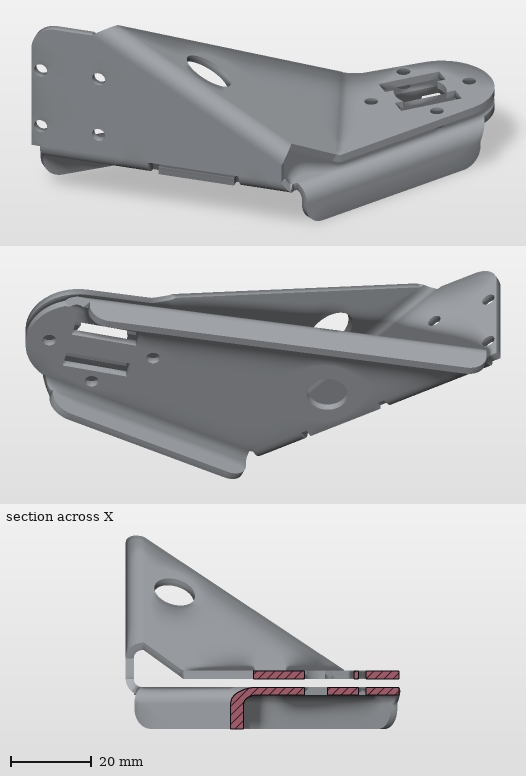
import cadquery as cq
import math

bend_radius = 4.0
thickness = bend_radius / 2
square_turn = 90.0
cut_depth = 61.7

lower_top = 10.4
lower_bottom = lower_top - thickness
upper_top = 14.4
upper_bottom = upper_top - thickness
wall_bottom = lower_bottom + bend_radius
wall_top = 46.0

wall_width = 64.8
wall_side_height = 17.4
wall_fold_x = 15.5
wall_corner_radius = 6.1
wall_hole_xs = (2.4, 17.4)
wall_hole_zs = (18.1, 33.9)
screw_diameter = 3.4

wall_roof_angle = 97.9
roof_left_x = 21.0
roof_right_x = 65.9
roof_fold_left = (63.4, 53.9)
roof_fold_right = (74.8, 13.8)
upper_fold_left = (64.4, 54.2)
upper_fold_right = (75.6, 14.4)
hole_diameter = 10.0
oval_center = (42.2, 12.1)
oval_length = 13.0

head_center = (89.3, 54.6)
head_radius = 13.1
left_normal = (-0.6, 0.8)
right_normal = (0.8, -0.6)
left_fold_offset = 2.0
right_fold_offset = 51.2
left_fold_start = 4.5
left_flange_end = 104.0
right_fold_start = 44.1
right_flange_end = 97.1
upper_ear_x = 68.5
upper_ear_radius = 3.1
lower_hole_center = (41.8, 12.1)
flange_corner_radius = 5.0
lower_left_x = 2.2
lower_right_x = 66.7
gap_left = 30.2
gap_right = 53.7
tab_left = 32.3
tab_right = 51.8
flare_angle = 50.0

pattern_center = (84.9, 50.8)
pattern_angle = 40.0
pattern_half_length = 13.2
pattern_half_width = 10.7
slot_length = 16.2
slot_width = 4.3
slot_spacing = 10.3
relief_radius = 6.6


def frame(origin, forward, normal):
    """Plane on the outer sheet face; local Y runs forward, local Z points outward."""
    forward = cq.Vector(*forward)
    normal = cq.Vector(*normal)
    return cq.Plane(origin=origin, xDir=forward.cross(normal), normal=normal)


def sheet(face, points):
    """Flat polygon of sheet lying under the given outer face."""
    return cq.Workplane(face).polyline(points).close().extrude(-thickness)


def after_bend(face, angle):
    """Outer face of the sheet after bending away from its normal."""
    turn = math.radians(angle)
    center = face.origin - face.zDir * bend_radius
    normal = face.zDir * math.cos(turn) + face.yDir * math.sin(turn)
    return cq.Plane(origin=center + normal * bend_radius, xDir=face.xDir, normal=normal)


def bend(face, angle, start_span, end_span):
    """Bent strip; the spans are its local X limits where the bend starts and ends."""
    half_turn = math.radians(angle / 2)
    low = min(start_span + end_span)
    high = max(start_span + end_span)
    ring_face = cq.Plane(
        origin=face.origin - face.zDir * bend_radius + face.xDir * low,
        xDir=face.yDir,
        normal=face.xDir,
    )

    def ring_point(radius, turn):
        return (radius * math.sin(turn), radius * math.cos(turn))

    inner_radius = bend_radius - thickness
    strip = (
        cq.Workplane(ring_face)
        .moveTo(*ring_point(bend_radius, 0))
        .threePointArc(ring_point(bend_radius, half_turn), ring_point(bend_radius, 2 * half_turn))
        .lineTo(*ring_point(inner_radius, 2 * half_turn))
        .threePointArc(ring_point(inner_radius, half_turn), ring_point(inner_radius, 0))
        .close()
        .extrude(high - low)
    )
    chord = 2 * bend_radius * math.sin(half_turn)
    mid_normal = face.zDir * math.cos(half_turn) + face.yDir * math.sin(half_turn)
    trim = (
        cq.Workplane(cq.Plane(origin=face.origin, xDir=face.xDir, normal=mid_normal))
        .polyline([(start_span[0], 0), (start_span[1], 0), (end_span[1], chord), (end_span[0], chord)])
        .close()
        .extrude(2 * bend_radius, both=True)
    )
    return strip.intersect(trim)


def scaled(vector, factor):
    return (vector[0] * factor, vector[1] * factor)


def along(point, direction, distance):
    return (point[0] + direction[0] * distance, point[1] + direction[1] * distance)


def dot(first, second):
    return first[0] * second[0] + first[1] * second[1]


left_along = (left_normal[1], -left_normal[0])
right_along = (-right_normal[1], right_normal[0])
diagonal = math.sqrt(0.5)
head_tip = along(head_center, (diagonal, diagonal), head_radius)


def make_wall():
    outline = [
        (0, wall_bottom),
        (wall_width, wall_bottom),
        (wall_width, wall_side_height),
        (wall_fold_x, wall_top),
        (0, wall_top),
    ]
    wall = cq.Workplane("XZ").polyline(outline).close().extrude(-thickness)
    wall = wall.edges("|Y").edges("<X and >Z").fillet(wall_corner_radius)
    holes = (
        cq.Workplane("XZ")
        .pushPoints([(x, z) for x in wall_hole_xs for z in wall_hole_zs])
        .circle(screw_diameter / 2)
        .extrude(-thickness)
    )
    return wall.cut(holes)


wall_slope = math.atan2(wall_top - wall_side_height, wall_width - wall_fold_x)
wall_fold_face = frame(
    (wall_width, 0, wall_side_height),
    (math.sin(wall_slope), 0, math.cos(wall_slope)),
    (0, -1, 0),
)
roof_face = after_bend(wall_fold_face, wall_roof_angle)
roof_normal = roof_face.zDir
roof_pitch = math.degrees(math.acos(roof_normal.z))
steepest_drop = (roof_normal.x**2 + roof_normal.y**2) / roof_normal.z
downhill = cq.Vector(roof_normal.x, roof_normal.y, -steepest_drop).normalized()

underside_point = roof_face.origin - roof_normal * thickness
fold_height = upper_bottom + bend_radius * (1 - roof_normal.z)
fold_origin = underside_point + downhill * ((fold_height - underside_point.z) / downhill.z)
upper_fold_face = frame(fold_origin.toTuple(), downhill.toTuple(), (roof_normal * -1).toTuple())


def upper_fold_span(left, right):
    """Local X limits along the upper fold of two points given by X and Y."""
    ends = []
    for x, y in (left, right):
        offset = cq.Vector(x, y, fold_origin.z) - fold_origin
        ends.append(offset.dot(upper_fold_face.xDir))
    return tuple(sorted(ends))


roof_end_span = upper_fold_span(roof_fold_left, roof_fold_right)
upper_end_span = upper_fold_span(upper_fold_left, upper_fold_right)


def on_roof(x, y):
    """Local roof coordinates of the roof point at the given X and Y."""
    origin = roof_face.origin
    drop = (roof_normal.x * (x - origin.x) + roof_normal.y * (y - origin.y)) / roof_normal.z
    local = roof_face.toLocalCoords(cq.Vector(x, y, origin.z - drop))
    return (local.x, local.y)


def make_roof():
    """Roof with its oval hole and both of its bends."""
    wall_end_span = ((wall_fold_x - wall_width) / math.cos(wall_slope), 0)
    front_span = tuple(
        (x - roof_face.origin.x) / roof_face.xDir.x for x in (roof_left_x, roof_right_x)
    )
    wall_bend = bend(wall_fold_face, wall_roof_angle, wall_end_span, front_span)
    upper_bend = bend(upper_fold_face, roof_pitch, roof_end_span, upper_end_span)

    back_points = []
    for x in roof_end_span:
        local = roof_face.toLocalCoords(upper_fold_face.toWorldCoords((x, 0)))
        back_points.append((local.x, local.y))
    back_left, back_right = sorted(back_points)
    roof = sheet(roof_face, [(front_span[0], 0), (front_span[1], 0), back_right, back_left])

    uphill_angle = math.degrees(math.atan2(-downhill.dot(roof_face.yDir), -downhill.dot(roof_face.xDir)))
    oval = (
        cq.Workplane(roof_face)
        .center(*on_roof(*oval_center))
        .ellipse(oval_length / 2, hole_diameter / 2, uphill_angle)
        .extrude(-thickness)
    )
    return wall_bend.union(roof.cut(oval)).union(upper_bend)


def make_upper_plate():
    upper_face = after_bend(upper_fold_face, roof_pitch)
    fold_points = [upper_face.toWorldCoords((x, 0)) for x in upper_end_span]
    fold_left, fold_right = sorted((point.x, point.y) for point in fold_points)
    left_tangent = along(head_center, left_normal, head_radius)
    right_tangent = along(head_center, right_normal, head_radius)
    ear = along(left_tangent, left_along, (upper_ear_x - left_tangent[0]) / left_along[0])
    plate = (
        cq.Workplane("XY", origin=(0, 0, upper_bottom))
        .polyline([left_tangent, ear, fold_left, fold_right, right_tangent])
        .threePointArc(head_tip, left_tangent)
        .close()
        .extrude(thickness)
    )
    ear_edge = cq.selectors.NearestToPointSelector((*ear, upper_bottom + thickness / 2))
    plate = plate.edges(ear_edge).fillet(upper_ear_radius)
    relief = (
        cq.Workplane("XY", origin=(0, 0, upper_bottom))
        .center(*pattern_center)
        .circle(relief_radius)
        .extrude(thickness)
    )
    return plate.cut(relief)


def head_reach(normal, fold_offset):
    """Half chord that a flange fold cuts from the head circle."""
    depth = fold_offset - dot(head_center, normal)
    return math.sqrt(head_radius**2 - depth**2)


def make_lower_plate():
    left_origin = scaled(left_normal, left_fold_offset)
    right_origin = scaled(right_normal, right_fold_offset)
    left_end = dot(head_center, left_along) + head_reach(left_normal, left_fold_offset)
    right_end = dot(head_center, right_along) + head_reach(right_normal, right_fold_offset)
    outline = [
        along(left_origin, left_along, left_end),
        along(left_origin, left_along, left_fold_start),
        (lower_left_x, bend_radius),
        (lower_right_x, bend_radius),
        along(right_origin, right_along, right_fold_start),
        along(right_origin, right_along, right_end),
    ]
    plate = (
        cq.Workplane("XY", origin=(0, 0, lower_bottom))
        .polyline(outline)
        .threePointArc(head_tip, outline[0])
        .close()
        .extrude(thickness)
    )
    tab = (
        cq.Workplane("XY", origin=(tab_left, thickness, lower_bottom))
        .rect(tab_right - tab_left, bend_radius - thickness, centered=False)
        .extrude(thickness)
    )
    hole = (
        cq.Workplane("XY", origin=(0, 0, lower_bottom))
        .center(*lower_hole_center)
        .circle(hole_diameter / 2)
        .extrude(thickness)
    )

    left_face = frame((*left_origin, lower_top), (*left_normal, 0), (0, 0, 1))
    right_face = frame((*right_origin, lower_top), (*right_normal, 0), (0, 0, 1))
    left_flange = make_flange(left_face, (left_fold_start, left_end), (left_fold_start, left_flange_end))
    right_flange = make_flange(
        right_face, (-right_end, -right_fold_start), (-right_flange_end, -right_fold_start)
    )
    return plate.union(tab).cut(hole).union(left_flange).union(right_flange)


def make_lower_bend():
    """Bend from wall to lower plate, in two halves beside the gap."""
    wall_face = frame((wall_width, 0, wall_bottom), (0, 0, -1), (0, -1, 0))

    def span(left, right):
        return (wall_width - right, wall_width - left)

    left_span = span(lower_left_x, gap_left)
    left_half = bend(wall_face, square_turn, left_span, left_span)
    narrow_span = span(gap_right, wall_width)
    wide_span = span(gap_right, lower_right_x)
    flare = bend(wall_face, flare_angle, narrow_span, wide_span)
    flare_end = after_bend(wall_face, flare_angle)
    right_half = bend(flare_end, square_turn - flare_angle, wide_span, wide_span)
    return left_half.union(flare).union(right_half)


def make_flange(face, fold_span, flange_span):
    """Bend down from the plate edge, and the upright flange with rounded lower corners."""
    height = lower_top - bend_radius
    start, end = flange_span
    flange = sheet(after_bend(face, square_turn), [(start, 0), (end, 0), (end, height), (start, height)])
    corners = flange.faces("<Z").edges(cq.selectors.ParallelDirSelector(face.yDir))
    flange = corners.fillet(flange_corner_radius)
    return bend(face, square_turn, fold_span, flange_span).union(flange)


def make_head_cuts():
    centers = [
        (pattern_half_length, 0),
        (-pattern_half_length, 0),
        (0, pattern_half_width),
        (0, -pattern_half_width),
    ]
    holes = cq.Workplane("XY").pushPoints(centers).circle(screw_diameter / 2).extrude(cut_depth)
    slots = (
        cq.Workplane("XY")
        .pushPoints([(0, slot_spacing / 2), (0, -slot_spacing / 2)])
        .rect(slot_length, slot_width)
        .extrude(cut_depth)
    )
    cuts = holes.union(slots)
    return cuts.rotate((0, 0, 0), (0, 0, 1), pattern_angle).translate((*pattern_center, 0))


bracket = make_wall().union(make_roof()).union(make_upper_plate())
bracket = bracket.union(make_lower_bend()).union(make_lower_plate())
result = bracket.cut(make_head_cuts())